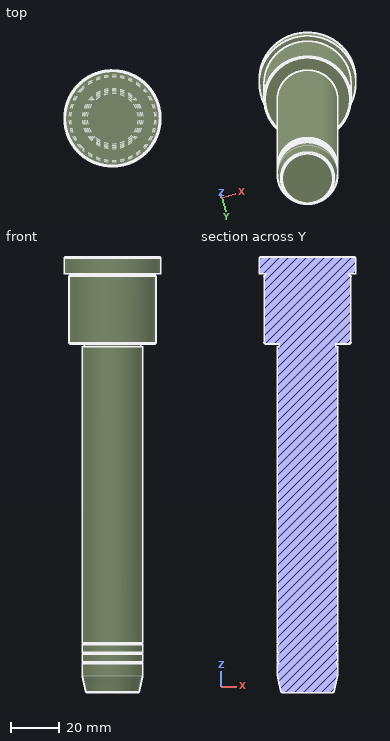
import cadquery as cq

total_length = 180.0
head_height = 7.0
collar_bottom = total_length - 36.0
neck_height = 1.0
taper_height = 7.0

head_radius = 20.0
collar_radius = 18.0
shaft_diameter = 25.0
shaft_radius = shaft_diameter / 2
neck_radius = 11.7
tip_radius = 11.0

head_chamfer = 0.5
collar_chamfer = 0.5
tip_chamfer = 0.5
relief_height = 0.5
relief_depth = 0.7

groove_count = 3
lowest_groove_z = 12.5
groove_pitch = 4.0
groove_width = 0.9
groove_depth = 0.5


def cylinder(radius, bottom, top):
    """Solid cylinder about Z between two heights."""
    return cq.Workplane("XY").workplane(offset=bottom).circle(radius).extrude(top - bottom)


def vee_groove(middle_z):
    """Ring-shaped cutter for a V groove centred on the given height."""
    half_width = groove_width / 2
    profile = [
        (shaft_radius, middle_z - half_width),
        (shaft_radius - groove_depth, middle_z),
        (shaft_radius, middle_z + half_width),
    ]
    return cq.Workplane("XZ").polyline(profile).close().revolve(360, (0, 0), (0, 1))


head_bottom = total_length - head_height
head = cylinder(head_radius, head_bottom, total_length).faces(">Z").chamfer(head_chamfer)
collar_top = head_bottom - relief_height
collar = cylinder(collar_radius, collar_bottom, collar_top).faces("<Z or >Z").chamfer(collar_chamfer)
relief = cylinder(collar_radius - relief_depth, collar_top, head_bottom)

shaft_top = collar_bottom - neck_height
shaft = cylinder(shaft_radius, taper_height, shaft_top)
neck = cylinder(neck_radius, shaft_top, collar_bottom)

tip = (
    cq.Workplane("XY")
    .circle(tip_radius)
    .workplane(offset=taper_height)
    .circle(shaft_radius)
    .loft(ruled=True)
    .faces("<Z")
    .chamfer(tip_chamfer)
)

result = head.union(relief).union(collar).union(neck).union(shaft).union(tip)
for index in range(groove_count):
    result = result.cut(vee_groove(lowest_groove_z + index * groove_pitch))